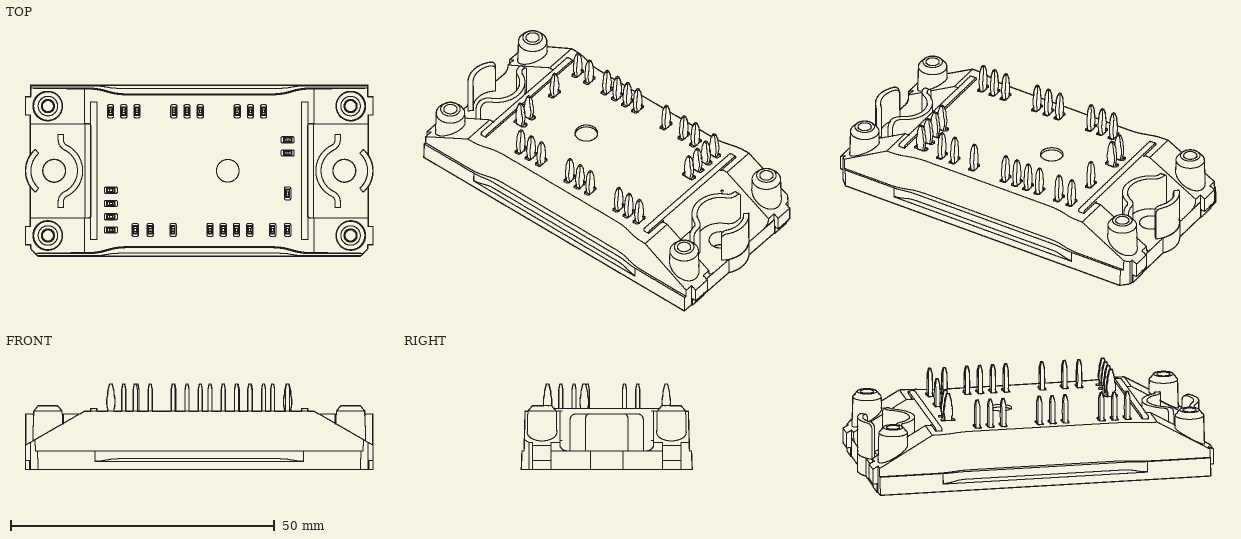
import cadquery as cq
import math

LENGTH = 66.0
WIDTH = 32.5
HEIGHT = 16.25
MAIN_HALF_X = 32.0
HALF_X = LENGTH / 2
HALF_Y = WIDTH / 2

BASE_Z = 3.55
BASE_TOP_HALF_Y = 16.1
CORNER_CHAMFER = 1.45

GROOVE_BOTTOM_Z = 1.5
GROOVE_DEPTH = 0.45
GROOVE_START_X = 19.8
GROOVE_FULL_X = 15.3

BODY_Z = 11.1
BODY_HALF_Y = 15.7
WAIST_HALF_Y = 14.6
WAIST_START_X = 21.0
WAIST_FULL_X = 13.9
BODY_DRAFT = 1.5
SLOPE_START_X = 21.8
SLOPE_ANGLE = 30.0

TAB_INNER_Y = 10.55
TAB_OUTER_Y = 14.05
TAB_BOTTOM_Z = 1.7
TAB_FOOT_X = 32.2
APRON_X = 32.1

RECESS_HALF_Y = 8.9
RECESS_WALL_X = 20.6
RECESS_FILLET = 1.3
RECESS_CORNER = 0.4
SLOT_OUTER_X = 21.65

MOUNT_X = 27.5
MOUNT_DIAMETER = 4.3
LUG_R = HALF_X - MOUNT_X
COLLAR_OUTER_R = 5.4
COLLAR_WALL = 1.0
COLLAR_MID_R = COLLAR_OUTER_R - COLLAR_WALL / 2
COLLAR_Z = 10.55
COLLAR_CORNER = 1.05
LUG_HALF_ANGLE = 48.5
ARM_X = 1.25
ARM_START_Y = 5.9
ARM_END_Y = 6.9

BOSS_X = 28.7
BOSS_Y = 12.3
BOSS_BOTTOM_R = 2.9
BOSS_SHOULDER_R = 2.7
BOSS_TOP_R = 1.85
BOSS_Z = 12.15
BOSS_HOLE_TOP_R = 1.25
BOSS_HOLE_FLOOR_R = 1.05
BOSS_HOLE_DEPTH = 3.95

RIDGE_WIDTH = 1.2
RIDGE_HALF_Y = 13.0
RIDGE_HEIGHT = 0.5
RIDGE_ROUND = 0.3

POCKET_X = 5.4
POCKET_DIAMETER = 4.3
POCKET_DEPTH = 0.5

PIN_HEIGHT = HEIGHT - BODY_Z
PIN_HALF_WIDTH = 0.63
PIN_BULGE_HALF_WIDTH = 0.825
PIN_TIP_HALF_WIDTH = 0.25
PIN_HALF_THICKNESS = 0.4
PIN_TIP_HALF_THICKNESS = 0.2
PIN_BULGE_START = 0.4
PIN_BULGE_END = 3.1
PIN_SHOULDER = 3.7
PIN_TIP_START = 4.15
SOCKET_LENGTH = 2.5
SOCKET_WIDTH = 1.2
SOCKET_CORNER = 0.3
SOCKET_DEPTH = 0.3
PIN_PITCH = 2.5
TRIPLE_PITCH = 12.0
TRIPLE_CENTER_X = -2.3
BACK_ROW_Y = 11.3
FRONT_ROW_Y = -11.2
SIDE_COLUMN_X = 16.75

LENGTHWISE_COLUMNS = [-12.15, -9.3, -4.95, 2.05, 4.55, 7.05, 9.6, 13.9, SIDE_COLUMN_X]
PINS_ALONG_Y = [(x, FRONT_ROW_Y) for x in LENGTHWISE_COLUMNS]
PINS_ALONG_Y += [
    (TRIPLE_CENTER_X + group * TRIPLE_PITCH + step * PIN_PITCH, BACK_ROW_Y)
    for group in (-1, 0, 1)
    for step in (-1, 0, 1)
]
PINS_ALONG_Y.append((SIDE_COLUMN_X, -4.3))
PINS_ALONG_X = [(-SIDE_COLUMN_X, FRONT_ROW_Y + step * PIN_PITCH) for step in range(4)]
PINS_ALONG_X += [(SIDE_COLUMN_X, y) for y in (3.35, 5.9)]


def slope_z(x):
    """Height of the end slope at distance x from the middle."""
    return BODY_Z - (x - SLOPE_START_X) * math.tan(math.radians(SLOPE_ANGLE))


def both_ends(solid):
    """The solid at the -X end together with its mirror image at the +X end."""
    return solid.union(solid.mirror("YZ"))


def gather(solids):
    """Separate solids as one object."""
    return cq.Workplane(cq.Compound.makeCompound([solid.val() for solid in solids]))


def s_curve(path, start, end):
    """Two equal tangent arcs that shift a line sideways from start to end."""
    middle = ((start[0] + end[0]) / 2, (start[1] + end[1]) / 2)
    return path.tangentArcPoint(middle, relative=False).tangentArcPoint(end, relative=False)


def waisted_side(path, sign, end_x, start_x, full_x, end_y, waist_y):
    """Side of an outline from the current end to the other, drawn in inward at its middle."""
    near = sign * start_x
    near_full = sign * full_x
    path = path.lineTo(near, end_y)
    path = s_curve(path, (near, end_y), (near_full, waist_y))
    path = path.lineTo(-near_full, waist_y)
    path = s_curve(path, (-near_full, waist_y), (-near, end_y))
    return path.lineTo(-sign * end_x, end_y)


def make_base():
    section = [(-HALF_Y, 0), (HALF_Y, 0), (BASE_TOP_HALF_Y, BASE_Z), (-BASE_TOP_HALF_Y, BASE_Z)]
    base = cq.Workplane("YZ").polyline(section).close().extrude(MAIN_HALF_X, both=True)
    lug = cq.Workplane("XY").center(-MOUNT_X, 0).circle(LUG_R).extrude(BASE_Z)
    apron = cq.Workplane("XY").box(
        2 * APRON_X, 2 * TAB_INNER_Y, BASE_Z, centered=(True, True, False)
    )
    return base.cut(make_groove()).union(apron).union(both_ends(lug))


def make_groove():
    """Groove cutters for both sides: a waisted plan above a floor that rises inward at 45 degrees."""
    rim_y = HALF_Y - (HALF_Y - BASE_TOP_HALF_Y) * GROOVE_BOTTOM_Z / BASE_Z
    outside_y = HALF_Y + GROOVE_DEPTH
    plan = cq.Workplane("XY").moveTo(-HALF_X, outside_y).lineTo(-HALF_X, BASE_TOP_HALF_Y)
    full_depth_y = BASE_TOP_HALF_Y - GROOVE_DEPTH
    plan = waisted_side(
        plan, -1, HALF_X, GROOVE_START_X, GROOVE_FULL_X, BASE_TOP_HALF_Y, full_depth_y
    )
    plan = plan.lineTo(HALF_X, outside_y).close().extrude(BASE_Z)
    rise = BASE_Z - GROOVE_BOTTOM_Z
    floor_section = [(rim_y, GROOVE_BOTTOM_Z), (rim_y - rise, BASE_Z), (rim_y, BASE_Z)]
    above_floor = cq.Workplane("YZ").polyline(floor_section).close()
    above_floor = above_floor.extrude(GROOVE_START_X, both=True)
    groove = plan.intersect(above_floor)
    return groove.union(groove.mirror("XZ"))


def make_body():
    waist = (HALF_X, WAIST_START_X, WAIST_FULL_X)
    plan = cq.Workplane("XY").workplane(offset=BASE_Z).moveTo(-HALF_X, -BODY_HALF_Y)
    plan = waisted_side(plan, -1, *waist, -BODY_HALF_Y, -WAIST_HALF_Y)
    plan = plan.lineTo(HALF_X, BODY_HALF_Y)
    plan = waisted_side(plan, 1, *waist, BODY_HALF_Y, WAIST_HALF_Y)
    block = plan.close().extrude(BODY_Z - BASE_Z, taper=BODY_DRAFT)
    profile = [
        (-MAIN_HALF_X, BASE_Z),
        (-MAIN_HALF_X, slope_z(MAIN_HALF_X)),
        (-SLOPE_START_X, BODY_Z),
        (SLOPE_START_X, BODY_Z),
        (MAIN_HALF_X, slope_z(MAIN_HALF_X)),
        (MAIN_HALF_X, BASE_Z),
    ]
    envelope = cq.Workplane("XZ").polyline(profile).close().extrude(HALF_Y, both=True)
    return block.intersect(envelope)


def make_recess():
    """Mounting recess at the -X end, rounded along the floor sides and in the deep corners."""
    length = HALF_X - RECESS_WALL_X
    recess = cq.Workplane("XY").box(
        length, 2 * RECESS_HALF_Y, BODY_Z, centered=(False, True, False)
    )
    recess = recess.translate((-HALF_X, 0, BASE_Z))
    recess = recess.edges("|X and <Z").fillet(RECESS_FILLET)
    return recess.edges("|Z and >X").fillet(RECESS_CORNER)


def make_slot():
    slot = cq.Workplane("XY").box(
        SLOT_OUTER_X - RECESS_WALL_X, 2 * RECESS_HALF_Y, BODY_Z / 2, centered=(False, True, False)
    )
    return slot.translate((-SLOT_OUTER_X, 0, 0))


def make_corner_cutter():
    """Triangular prism that chamfers the (-X, -Y) corner over the full height."""
    corner = cq.Workplane("XY").moveTo(-MAIN_HALF_X, -HALF_Y)
    return corner.line(CORNER_CHAMFER, 0).line(-CORNER_CHAMFER, CORNER_CHAMFER).close().extrude(BODY_Z)


def make_tabs():
    """Two tabs at the -X end that continue the end slope, each above a thin foot."""
    profile = [
        (-TAB_FOOT_X, 0),
        (-TAB_FOOT_X, TAB_BOTTOM_Z),
        (-HALF_X, TAB_BOTTOM_Z),
        (-HALF_X, slope_z(HALF_X)),
        (-BOSS_X, slope_z(BOSS_X)),
        (-BOSS_X, 0),
    ]
    tab = cq.Workplane("XZ", origin=(0, TAB_OUTER_Y, 0)).polyline(profile).close()
    tab = tab.extrude(TAB_OUTER_Y - TAB_INNER_Y)
    return tab.union(tab.mirror("XZ"))


def boss_places(solid):
    """Copies of a solid on the axes of the four corner bosses."""
    copies = [solid.translate((x, y, 0)) for x in (-BOSS_X, BOSS_X) for y in (-BOSS_Y, BOSS_Y)]
    return gather(copies)


def make_boss():
    section = [
        (0, BASE_Z),
        (BOSS_BOTTOM_R, BASE_Z),
        (BOSS_SHOULDER_R, BODY_Z),
        (BOSS_TOP_R, BOSS_Z),
        (0, BOSS_Z),
    ]
    return cq.Workplane("XZ").polyline(section).close().revolve(360, (0, 0, 0), (0, 1, 0))


def make_boss_hole():
    """Slightly tapered blind hole."""
    floor_z = BOSS_Z - BOSS_HOLE_DEPTH
    section = [(0, floor_z), (BOSS_HOLE_FLOOR_R, floor_z), (BOSS_HOLE_TOP_R, BOSS_Z), (0, BOSS_Z)]
    return cq.Workplane("XZ").polyline(section).close().revolve(360, (0, 0, 0), (0, 1, 0))


def make_lug_wall():
    """Outer arc of the collar, with rounded upper corners."""
    inner_r = COLLAR_OUTER_R - COLLAR_WALL
    angle = math.radians(LUG_HALF_ANGLE)

    def point(radius, sign):
        return (-radius * math.cos(angle), sign * radius * math.sin(angle))

    wall = cq.Workplane("XY").moveTo(*point(COLLAR_OUTER_R, 1))
    wall = wall.threePointArc((-COLLAR_OUTER_R, 0), point(COLLAR_OUTER_R, -1))
    wall = wall.lineTo(*point(inner_r, -1))
    wall = wall.threePointArc((-inner_r, 0), point(inner_r, 1)).close().extrude(COLLAR_Z)
    return wall.edges(">Z").edges("%LINE").fillet(COLLAR_CORNER)


def make_inner_wall():
    """Inner arc of the collar; both ends curve back into short straight arms."""
    half_wall = COLLAR_WALL / 2
    bend_r = (ARM_X**2 + ARM_START_Y**2 - COLLAR_MID_R**2) / (2 * (COLLAR_MID_R - ARM_X))
    bend_angle = math.atan2(ARM_START_Y, ARM_X + bend_r)
    cos_bend = math.cos(bend_angle)
    sin_bend = math.sin(bend_angle)

    def face(path, offset, sign):
        """One face from the arm end at +Y (sign 1) or -Y (sign -1) to the other."""
        radius = COLLAR_MID_R + offset
        arm_x = ARM_X + offset
        path = path.lineTo(arm_x, sign * ARM_START_Y)
        for x, y in (
            (radius * cos_bend, sign * radius * sin_bend),
            (radius * cos_bend, -sign * radius * sin_bend),
            (arm_x, -sign * ARM_START_Y),
        ):
            path = path.tangentArcPoint((x, y), relative=False)
        return path.lineTo(arm_x, -sign * ARM_END_Y)

    wall = cq.Workplane("XY").moveTo(ARM_X + half_wall, ARM_END_Y)
    wall = face(wall, half_wall, 1)
    wall = wall.lineTo(ARM_X - half_wall, -ARM_END_Y)
    wall = face(wall, -half_wall, -1).close().extrude(COLLAR_Z)
    return wall.edges(">Z").edges("|X").fillet(COLLAR_CORNER)


def make_ridge():
    ridge = cq.Workplane("XY").box(
        RIDGE_WIDTH, 2 * RIDGE_HALF_Y, RIDGE_HEIGHT, centered=(False, True, False)
    )
    return ridge.edges("|X and >Z").fillet(RIDGE_ROUND).translate((-RECESS_WALL_X, 0, BODY_Z))


def make_socket():
    socket = cq.Workplane("XY").rect(SOCKET_WIDTH, SOCKET_LENGTH).extrude(-SOCKET_DEPTH)
    return socket.edges("|Z").fillet(SOCKET_CORNER)


def make_pin():
    """Press-fit pin, wide along Y, that stands on the plane Z = 0 and reaches into the body."""
    root = -2 * SOCKET_DEPTH
    bulge_middle = (PIN_BULGE_START + PIN_BULGE_END) / 2
    wide = (
        cq.Workplane("YZ")
        .moveTo(-PIN_HALF_WIDTH, root)
        .lineTo(PIN_HALF_WIDTH, root)
        .lineTo(PIN_HALF_WIDTH, PIN_BULGE_START)
        .threePointArc((PIN_BULGE_HALF_WIDTH, bulge_middle), (PIN_HALF_WIDTH, PIN_BULGE_END))
        .lineTo(PIN_HALF_WIDTH, PIN_SHOULDER)
        .lineTo(PIN_TIP_HALF_WIDTH, PIN_HEIGHT)
        .lineTo(-PIN_TIP_HALF_WIDTH, PIN_HEIGHT)
        .lineTo(-PIN_HALF_WIDTH, PIN_SHOULDER)
        .lineTo(-PIN_HALF_WIDTH, PIN_BULGE_END)
        .threePointArc((-PIN_BULGE_HALF_WIDTH, bulge_middle), (-PIN_HALF_WIDTH, PIN_BULGE_START))
        .close()
        .extrude(PIN_HALF_THICKNESS, both=True)
    )
    narrow_section = [
        (-PIN_HALF_THICKNESS, root),
        (PIN_HALF_THICKNESS, root),
        (PIN_HALF_THICKNESS, PIN_TIP_START),
        (PIN_TIP_HALF_THICKNESS, PIN_HEIGHT),
        (-PIN_TIP_HALF_THICKNESS, PIN_HEIGHT),
        (-PIN_HALF_THICKNESS, PIN_TIP_START),
    ]
    narrow = cq.Workplane("XZ").polyline(narrow_section).close()
    return wide.intersect(narrow.extrude(PIN_BULGE_HALF_WIDTH, both=True))


def at_pin_places(solid):
    """Copies of a solid at every pin place, turned to suit the pin direction."""
    turned = solid.rotate((0, 0, 0), (0, 0, 1), 90)
    copies = [solid.translate((x, y, BODY_Z)) for x, y in PINS_ALONG_Y]
    copies += [turned.translate((x, y, BODY_Z)) for x, y in PINS_ALONG_X]
    return gather(copies)


result = make_base().union(make_body())
result = result.cut(both_ends(make_recess())).cut(both_ends(make_slot()))
result = result.cut(both_ends(make_corner_cutter())).union(both_ends(make_tabs()))

result = result.union(boss_places(make_boss())).cut(boss_places(make_boss_hole()))

collar = make_lug_wall().union(make_inner_wall()).translate((-MOUNT_X, 0, 0))
mount_hole = cq.Workplane("XY").center(-MOUNT_X, 0).circle(MOUNT_DIAMETER / 2).extrude(BASE_Z)
result = result.union(both_ends(collar)).cut(both_ends(mount_hole))

result = result.union(both_ends(make_ridge()))
pocket = cq.Workplane("XY").center(POCKET_X, 0).circle(POCKET_DIAMETER / 2).extrude(POCKET_DEPTH)
result = result.cut(pocket.translate((0, 0, BODY_Z - POCKET_DEPTH)))
result = result.cut(at_pin_places(make_socket())).union(at_pin_places(make_pin()))